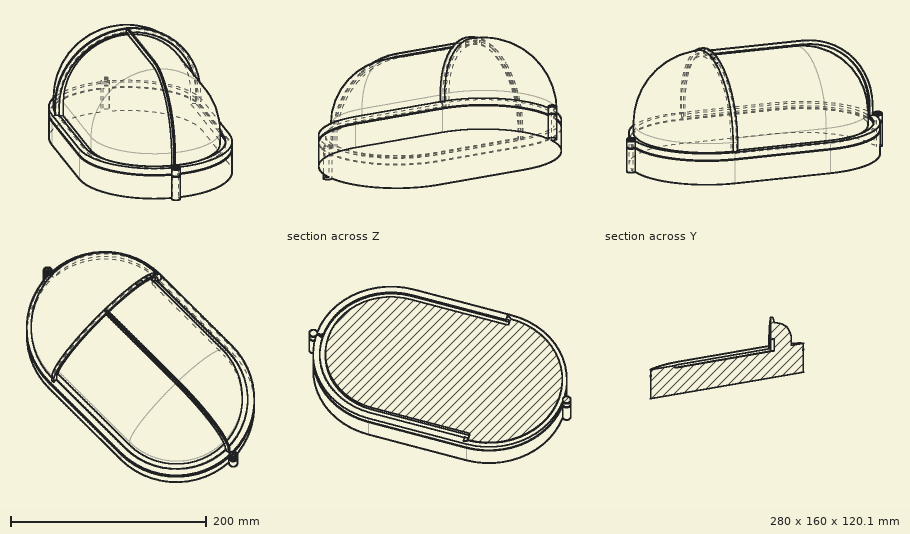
import cadquery as cq


overall_length = 280.0
base_width = 160.0
base_radius = base_width / 2
end_center_x = 52.5

rim_height = 33.0
seam_bottom = 25.2
seam_height = 0.8
seam_depth = 0.3
opening_radius = 73.0
opening_depth = 2.8
recess_floor = rim_height - opening_depth

glass_radius = 67.5
glass_spring_height = 44.8

shield_radius = 75.3
arch_height = 42.8

guard_radius = 77.3
cross_bar_width = 4.5
cross_bar_thickness = 4.5
cross_bar_x = -50.7
cross_bar_rounding = 3.5
long_bar_thickness = 3.5
long_bar_base_width = 4.0
long_bar_crest_width = 1.5

lug_radius = 4.5
lug_x = overall_length / 2 - lug_radius
screw_head_radius = 4.2
screw_head_height = 2.2
screw_head_chamfer = 0.8
screw_socket_width = 2.5
screw_socket_depth = 1.0


def oval_block(end_radius, bottom, height):
    """Upright block with straight sides and full-round ends."""
    length = 2 * (end_center_x + end_radius)
    return cq.Workplane("XY").workplane(offset=bottom).slot2D(length, 2 * end_radius).extrude(height)


def lug(x, radius, bottom, height):
    return cq.Workplane("XY", origin=(x, 0, bottom)).circle(radius).extrude(height)


def body_layer(inset, bottom, height):
    """One level of the base: the oval with a screw lug at each end."""
    layer = oval_block(base_radius - inset, bottom, height)
    for x in (-lug_x, lug_x):
        layer = layer.union(lug(x, lug_radius - inset, bottom, height))
    return layer


def make_body():
    seam_top = seam_bottom + seam_height
    body = body_layer(0, 0, seam_bottom)
    body = body.union(body_layer(seam_depth, seam_bottom, seam_height))
    body = body.union(body_layer(0, seam_top, rim_height - seam_top))
    return body.cut(oval_block(opening_radius, recess_floor, opening_depth))


def make_screw_head(x):
    head = lug(x, screw_head_radius, rim_height, screw_head_height)
    head = head.faces(">Z").chamfer(screw_head_chamfer)
    top = head.faces(">Z").workplane()
    return top.rect(screw_socket_width, screw_socket_width).cutBlind(-screw_socket_depth)


def make_glass():
    glass = oval_block(glass_radius, recess_floor, glass_spring_height - recess_floor)
    barrel = (
        cq.Workplane("YZ", origin=(-end_center_x, 0, glass_spring_height))
        .circle(glass_radius)
        .extrude(2 * end_center_x)
    )
    dome = cq.Workplane("XY").sphere(glass_radius).translate((end_center_x, 0, glass_spring_height))
    upper = barrel.union(dome)
    above_spring = oval_block(base_radius, glass_spring_height, base_width)
    return glass.union(upper.intersect(above_spring))


def make_shield():
    """Quarter-sphere on a half-round skirt, closing the -X end."""
    skirt = (
        cq.Workplane("XY", origin=(-end_center_x, 0, recess_floor))
        .circle(shield_radius)
        .extrude(arch_height - recess_floor)
    )
    dome = cq.Workplane("XY").sphere(shield_radius).translate((-end_center_x, 0, arch_height))
    end_half = (
        cq.Workplane("XY", origin=(-end_center_x - base_radius, 0, 0))
        .rect(base_width, base_width)
        .extrude(base_width)
    )
    upper_half = end_half.translate((0, 0, arch_height))
    return skirt.intersect(end_half).union(dome.intersect(upper_half))


def cross_arch(radius):
    """Solid arch across the lamp, as wide along X as the cross bar."""
    return (
        cq.Workplane("YZ", origin=(cross_bar_x - cross_bar_width / 2, 0, 0))
        .moveTo(-radius, recess_floor)
        .lineTo(-radius, arch_height)
        .threePointArc((0, arch_height + radius), (radius, arch_height))
        .lineTo(radius, recess_floor)
        .close()
        .extrude(cross_bar_width)
    )


def make_cross_bar():
    """Arched bar along the edge of the shield, rounded on the shield side."""
    outer = cross_arch(guard_radius)
    outer = outer.faces("<X").edges("not(<Z)").fillet(cross_bar_rounding)
    return outer.cut(cross_arch(guard_radius - cross_bar_thickness))


def make_long_bar():
    """Tapered bar from the cross bar along the top and down to the +X end."""
    inner_radius = guard_radius - long_bar_thickness
    foot_x = end_center_x + inner_radius
    path = (
        cq.Workplane("XZ")
        .moveTo(foot_x, recess_floor)
        .lineTo(foot_x, arch_height)
        .tangentArcPoint((end_center_x, arch_height + inner_radius), relative=False)
        .lineTo(cross_bar_x, arch_height + inner_radius)
    )
    half_base = long_bar_base_width / 2
    half_crest = long_bar_crest_width / 2
    profile = (
        cq.Workplane("XY", origin=(foot_x, 0, recess_floor))
        .moveTo(0, -half_base)
        .lineTo(long_bar_thickness, -half_crest)
        .lineTo(long_bar_thickness, half_crest)
        .lineTo(0, half_base)
        .close()
    )
    return profile.sweep(path)


result = make_body()
for screw_x in (-lug_x, lug_x):
    result = result.union(make_screw_head(screw_x))
for piece in (make_glass(), make_shield(), make_cross_bar(), make_long_bar()):
    result = result.union(piece)